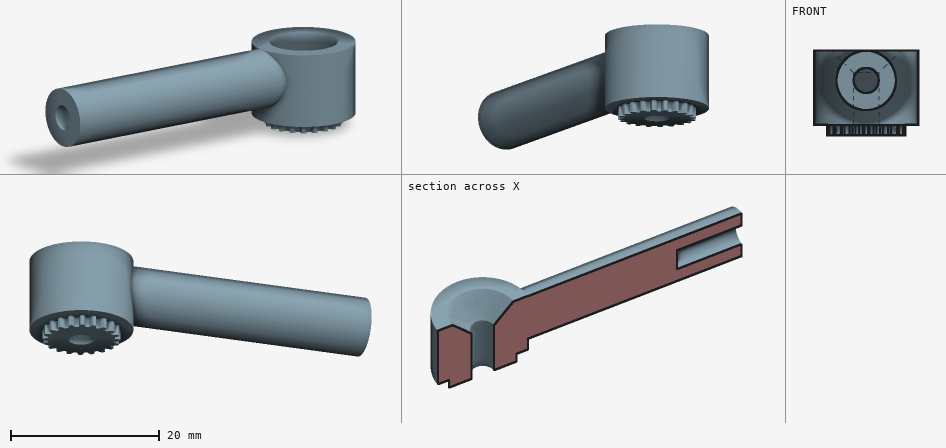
import cadquery as cq
import math

total_length = 47.0
head_diameter = 14.0
head_height = 10.0

arm_diameter = 8.0
arm_top_gap = 0.05
arm_end_hole_depth = 10.0

hole_diameter = 3.4
countersink_diameter = 9.4
countersink_depth = (countersink_diameter - hole_diameter) / 2

boss_height = 1.4
tooth_count = 20
tip_radius = 5.25
root_radius = 4.5
tooth_half_angle = math.radians(5.8)

head_radius = head_diameter / 2
hole_radius = hole_diameter / 2
arm_axis_z = head_height - arm_top_gap - arm_diameter / 2
arm_end_y = head_radius - total_length


def polar(radius, angle):
    return (radius * math.cos(angle), radius * math.sin(angle))


def flank_half_angle(radius):
    """Half of a tooth's angle at a given radius, with the root circle as involute base."""
    pressure_angle = math.acos(root_radius / radius)
    return tooth_half_angle - (math.tan(pressure_angle) - pressure_angle)


def make_head():
    return cq.Workplane("XY").circle(head_radius).extrude(head_height)


def make_arm():
    """Round bar from the free end to the head axis."""
    end_plane = cq.Workplane("XZ", origin=(0, arm_end_y, arm_axis_z))
    return end_plane.circle(arm_diameter / 2).extrude(arm_end_y)


def make_toothed_boss():
    pitch = 2 * math.pi / tooth_count
    middle_radius = (root_radius + tip_radius) / 2
    tip_half = flank_half_angle(tip_radius)
    middle_half = flank_half_angle(middle_radius)

    outline = cq.Workplane("XY").moveTo(*polar(root_radius, -tooth_half_angle))
    for tooth in range(tooth_count):
        centre = tooth * pitch
        outline = (
            outline
            .threePointArc(polar(middle_radius, centre - middle_half), polar(tip_radius, centre - tip_half))
            .threePointArc(polar(tip_radius, centre), polar(tip_radius, centre + tip_half))
            .threePointArc(
                polar(middle_radius, centre + middle_half), polar(root_radius, centre + tooth_half_angle)
            )
            .threePointArc(
                polar(root_radius, centre + pitch / 2), polar(root_radius, centre + pitch - tooth_half_angle)
            )
        )
    return outline.close().extrude(-boss_height)


def make_countersunk_hole():
    """Through hole with a conical mouth in the head's top face."""
    profile = [
        (0, -boss_height),
        (hole_radius, -boss_height),
        (hole_radius, head_height - countersink_depth),
        (countersink_diameter / 2, head_height),
        (0, head_height),
    ]
    return cq.Workplane("XZ").polyline(profile).close().revolve(360, (0, 0, 0), (0, 1, 0))


def make_arm_end_hole():
    end_plane = cq.Workplane("XZ", origin=(0, arm_end_y, arm_axis_z))
    return end_plane.circle(hole_radius).extrude(-arm_end_hole_depth)


result = (
    make_head()
    .union(make_arm())
    .union(make_toothed_boss())
    .cut(make_countersunk_hole())
    .cut(make_arm_end_hole())
)